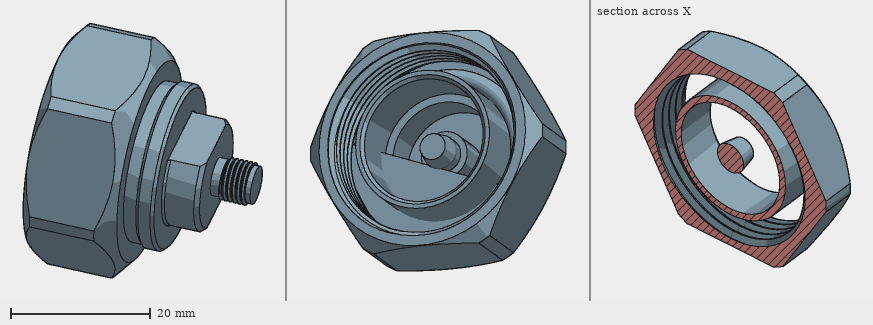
import cadquery as cq
import math

TOTAL_LENGTH = 30.0

NUT_LENGTH = 13.85
NUT_ACROSS_FLATS = 31.75
NUT_CORNER_RADIUS = 17.8
NUT_FRONT_FACE_RADIUS = 15.82
NUT_REAR_FACE_RADIUS = 14.83
NUT_CHAMFER_SLOPE = math.tan(math.radians(50))

BORE_RADIUS = 13.5
BORE_MOUTH_RADIUS = 14.33
BORE_FLOOR_X = 10.1
RELIEF_RADIUS = 14.52
RELIEF_START_X = 7.6
BORE_THREAD_PITCH = 1.5
BORE_THREAD_ROOT_RADIUS = 14.5
BORE_THREAD_START_X = -1.79
BORE_THREAD_TURNS = 7
GROOVE_MOUTH_WIDTH = 1.38
GROOVE_ROOT_WIDTH = 0.3

RING_SECTION_RADIUS = 1.22
RING_CENTER_X = 9.0

SLEEVE_FRONT_X = 0.1
SLEEVE_OUTER_RADIUS = 10.26
SLEEVE_MOUTH_RADIUS = 9.6
SLEEVE_BORE_RADIUS = 9.1
SLEEVE_STEP_X = 9.0
CAVITY_RADIUS = 7.9
CAVITY_FLOOR_X = 15.0

PIN_TIP_X = 4.2
PIN_TIP_RADIUS = 1.93
PIN_RADIUS = 2.5
PIN_TAPER_LENGTH = 3.0
PIN_COLLAR_RADIUS = 3.5
PIN_COLLAR_X = SLEEVE_STEP_X

NECK_RADIUS = 11.86
FLANGE_RADIUS = 12.3
FLANGE_FRONT_X = 15.74
FLANGE_REAR_X = 18.48
FLANGE_CHAMFER = 0.45

BOSS_RADIUS = 8.3
BOSS_REAR_X = 23.97
BOSS_ACROSS_FLATS = 12.6
BOSS_CHAMFER = 0.67
BOSS_FLARE = 0.4
BOSS_FOOT_RADIUS = 8.5

STEM_RADIUS = 2.8
STEM_THREAD_RADIUS = 3.175
STEM_THREAD_PITCH = 25.4 / 36
STEM_THREAD_TURNS = 7
STEM_THREAD_START_X = 24.74
STEM_THREAD_ROOT_RADIUS = 2.72
STEM_BAND_START_X = 25.34
STEM_BAND_END_X = 29.22
STEM_RIDGE_ROOT_WIDTH = 0.67
STEM_RIDGE_CREST_WIDTH = 0.1

THREAD_OVERLAP = 0.1


def revolve_profile(points):
    """Revolve a closed (x, radius) outline around the X axis."""
    return cq.Workplane("XZ").polyline(points).close().revolve(360, (0, 0, 0), (1, 0, 0))


def cylinder(start_x, end_x, radius):
    return cq.Workplane("YZ").workplane(offset=start_x).circle(radius).extrude(end_x - start_x)


def helical_thread(base_radius, tip_radius, base_width, tip_width, pitch, turns, start_x):
    """Right-handed trapezoidal thread along X, starting on the -Z side at start_x."""
    section = [
        (base_radius, -base_width / 2),
        (tip_radius, -tip_width / 2),
        (tip_radius, tip_width / 2),
        (base_radius, base_width / 2),
    ]
    helix = cq.Workplane(obj=cq.Wire.makeHelix(pitch, pitch * turns, base_radius))
    thread = cq.Workplane("XZ").polyline(section).close().sweep(helix, isFrenet=True)
    return thread.rotate((0, 0, 0), (0, 1, 0), 90).translate((start_x, 0, 0))


def make_nut():
    """Hexagon with rounded corners and conical chamfers on both ends, flats facing +Z and -Z."""
    corner_diameter = NUT_ACROSS_FLATS / math.cos(math.pi / 6)
    hexagon = cq.Workplane("YZ").polygon(6, corner_diameter).extrude(NUT_LENGTH)
    front_chamfer = (NUT_CORNER_RADIUS - NUT_FRONT_FACE_RADIUS) / NUT_CHAMFER_SLOPE
    rear_chamfer = (NUT_CORNER_RADIUS - NUT_REAR_FACE_RADIUS) / NUT_CHAMFER_SLOPE
    envelope = revolve_profile([
        (0, 0),
        (0, NUT_FRONT_FACE_RADIUS),
        (front_chamfer, NUT_CORNER_RADIUS),
        (NUT_LENGTH - rear_chamfer, NUT_CORNER_RADIUS),
        (NUT_LENGTH, NUT_REAR_FACE_RADIUS),
        (NUT_LENGTH, 0),
    ])
    return hexagon.intersect(envelope)


def make_bore():
    """Nut cavity with a chamfered mouth and a relief in front of the floor."""
    mouth_chamfer = BORE_MOUTH_RADIUS - BORE_RADIUS
    return revolve_profile([
        (0, 0),
        (0, BORE_MOUTH_RADIUS),
        (mouth_chamfer, BORE_RADIUS),
        (RELIEF_START_X, BORE_RADIUS),
        (RELIEF_START_X, RELIEF_RADIUS),
        (BORE_FLOOR_X, RELIEF_RADIUS),
        (BORE_FLOOR_X, 0),
    ])


def cut_bore_thread(nut):
    """Cut the helical groove of the nut thread one turn at a time, from the mouth into the relief."""
    for turn in range(BORE_THREAD_TURNS):
        groove = helical_thread(
            BORE_RADIUS - THREAD_OVERLAP,
            BORE_THREAD_ROOT_RADIUS,
            GROOVE_MOUTH_WIDTH,
            GROOVE_ROOT_WIDTH,
            BORE_THREAD_PITCH,
            1,
            BORE_THREAD_START_X + turn * BORE_THREAD_PITCH,
        )
        nut = nut.cut(groove)
    return nut


def make_sealing_ring():
    """Round-section ring around the sleeve, partly sunk in the bore floor."""
    ring_radius = SLEEVE_OUTER_RADIUS + RING_SECTION_RADIUS
    ring = cq.Solid.makeTorus(
        ring_radius, RING_SECTION_RADIUS, cq.Vector(RING_CENTER_X, 0, 0), cq.Vector(1, 0, 0)
    )
    return cq.Workplane(obj=ring)


def make_sleeve_cavity():
    """Stepped round cavity of the contact sleeve with a chamfered mouth."""
    mouth_chamfer = SLEEVE_MOUTH_RADIUS - SLEEVE_BORE_RADIUS
    return revolve_profile([
        (SLEEVE_FRONT_X, 0),
        (SLEEVE_FRONT_X, SLEEVE_MOUTH_RADIUS),
        (SLEEVE_FRONT_X + mouth_chamfer, SLEEVE_BORE_RADIUS),
        (SLEEVE_STEP_X, SLEEVE_BORE_RADIUS),
        (SLEEVE_STEP_X, CAVITY_RADIUS),
        (CAVITY_FLOOR_X, CAVITY_RADIUS),
        (CAVITY_FLOOR_X, 0),
    ])


def make_center_contact():
    """Tapered pin on a wider collar that stands on the cavity floor."""
    taper_end_x = PIN_TIP_X + PIN_TAPER_LENGTH
    return revolve_profile([
        (PIN_TIP_X, 0),
        (PIN_TIP_X, PIN_TIP_RADIUS),
        (taper_end_x, PIN_RADIUS),
        (PIN_COLLAR_X, PIN_RADIUS),
        (PIN_COLLAR_X, PIN_COLLAR_RADIUS),
        (CAVITY_FLOOR_X, PIN_COLLAR_RADIUS),
        (CAVITY_FLOOR_X, 0),
    ])


def make_flange():
    """Neck behind the nut and the flange with both rims chamfered."""
    rim_radius = FLANGE_RADIUS - FLANGE_CHAMFER
    return revolve_profile([
        (NUT_LENGTH, 0),
        (NUT_LENGTH, NECK_RADIUS),
        (FLANGE_FRONT_X, NECK_RADIUS),
        (FLANGE_FRONT_X + FLANGE_CHAMFER, FLANGE_RADIUS),
        (FLANGE_REAR_X - FLANGE_CHAMFER, FLANGE_RADIUS),
        (FLANGE_REAR_X, rim_radius),
        (FLANGE_REAR_X, 0),
    ])


def make_boss():
    """Round boss with a conical foot, a rear chamfer and flats facing +Z and -Z."""
    boss = revolve_profile([
        (FLANGE_REAR_X, 0),
        (FLANGE_REAR_X, BOSS_FOOT_RADIUS),
        (FLANGE_REAR_X + BOSS_FLARE, BOSS_RADIUS),
        (BOSS_REAR_X - BOSS_CHAMFER, BOSS_RADIUS),
        (BOSS_REAR_X, BOSS_RADIUS - BOSS_CHAMFER),
        (BOSS_REAR_X, 0),
    ])
    boss_center_x = (FLANGE_REAR_X + BOSS_REAR_X) / 2
    between_flats = cq.Workplane("XY").box(
        BOSS_REAR_X - FLANGE_REAR_X, 2 * BOSS_FOOT_RADIUS, BOSS_ACROSS_FLATS
    )
    return boss.intersect(between_flats.translate((boss_center_x, 0, 0)))


def make_stem():
    """Rear stem with a helical thread raised from a shallow recessed band."""
    ridge = helical_thread(
        STEM_THREAD_ROOT_RADIUS - THREAD_OVERLAP,
        STEM_THREAD_RADIUS,
        STEM_RIDGE_ROOT_WIDTH,
        STEM_RIDGE_CREST_WIDTH,
        STEM_THREAD_PITCH,
        STEM_THREAD_TURNS,
        STEM_THREAD_START_X,
    )
    band_envelope = cylinder(STEM_BAND_START_X, STEM_BAND_END_X, STEM_THREAD_RADIUS + THREAD_OVERLAP)
    band = cylinder(STEM_BAND_START_X, STEM_BAND_END_X, STEM_THREAD_ROOT_RADIUS)
    threaded_band = band.union(ridge.intersect(band_envelope))
    plain_front = cylinder(BOSS_REAR_X, STEM_BAND_START_X, STEM_RADIUS)
    plain_rear = cylinder(STEM_BAND_END_X, TOTAL_LENGTH, STEM_RADIUS)
    return plain_front.union(threaded_band).union(plain_rear)


nut = cut_bore_thread(make_nut().cut(make_bore()))
sleeve = cylinder(SLEEVE_FRONT_X, BORE_FLOOR_X, SLEEVE_OUTER_RADIUS)
body = nut.union(sleeve).union(make_sealing_ring()).union(make_flange())
body = body.cut(make_sleeve_cavity()).union(make_center_contact())
result = body.union(make_boss()).union(make_stem())